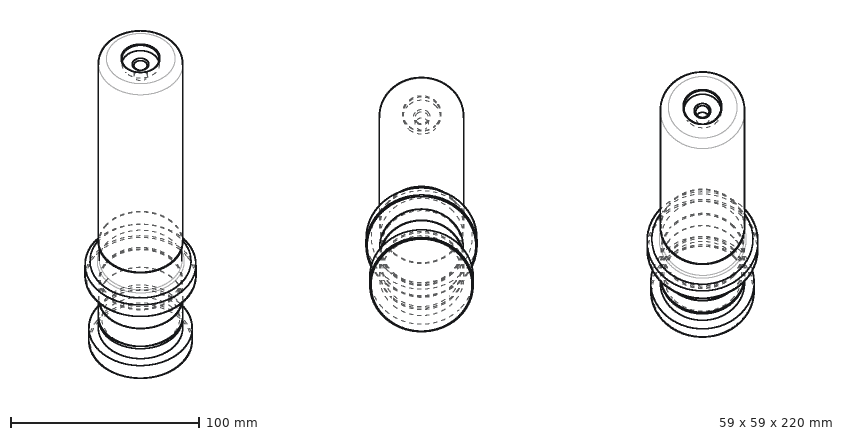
import cadquery as cq
import math

total_height = 220.0
cap_flange_top = 10.5
joint_height = 18.3
lower_band_top = 33.9
collar_bottom = 50.2
collar_top = 62.5
upper_band_top = 77.2

pillar_radius = 22.5
band_radius = 22.0
middle_radius = 22.2
collar_radius = 29.5
cap_flange_radius = 27.5

pillar_top_fillet = 4.2
pillar_end_chamfer = 1.8
undercut_depth = 0.7
undercut_height = 1.8
collar_top_chamfer = 2.6
collar_root_fillet = 1.0
bottom_edge_chamfer = 0.7

recess_radius = 10.0
recess_depth = 4.6
recess_edge_chamfer = 0.5
centre_mouth_radius = 4.5
centre_radius = 3.5
centre_depth = 8.8
centre_tip_angle = 120.0


def revolve_profile(profile):
    """Revolve a closed radius-height outline around the Z axis."""
    return profile.close().revolve(360, (0, 0, 0), (0, 1, 0))


def make_centre_hole():
    """Stepped recess, countersunk hole and conical drill tip."""
    recess_floor = total_height - recess_depth
    countersink_bottom = recess_floor - (centre_mouth_radius - centre_radius)
    hole_bottom = recess_floor - centre_depth
    tip_height = centre_radius / math.tan(math.radians(centre_tip_angle / 2))
    return revolve_profile(
        cq.Workplane("XZ")
        .moveTo(0, total_height)
        .lineTo(recess_radius + recess_edge_chamfer, total_height)
        .lineTo(recess_radius, total_height - recess_edge_chamfer)
        .lineTo(recess_radius, recess_floor)
        .lineTo(centre_mouth_radius, recess_floor)
        .lineTo(centre_radius, countersink_bottom)
        .lineTo(centre_radius, hole_bottom)
        .lineTo(0, hole_bottom - tip_height)
    )


def make_pillar():
    """Guide pillar with its integral collar, reduced bands and undercut neck."""
    fillet_middle = math.sqrt(0.5)
    root_radius = band_radius + collar_root_fillet
    root_top = collar_top + collar_root_fillet
    shoulder_radius = collar_radius - collar_top_chamfer
    shoulder_height = collar_top - collar_top_chamfer
    crown_radius = pillar_radius - pillar_top_fillet
    crown_height = total_height - pillar_top_fillet
    body = revolve_profile(
        cq.Workplane("XZ")
        .moveTo(0, joint_height)
        .lineTo(pillar_radius - pillar_end_chamfer, joint_height)
        .lineTo(pillar_radius, joint_height + pillar_end_chamfer)
        .lineTo(pillar_radius, lower_band_top)
        .lineTo(middle_radius, lower_band_top)
        .lineTo(middle_radius, collar_bottom - undercut_height)
        .lineTo(middle_radius - undercut_depth, collar_bottom - undercut_height)
        .lineTo(middle_radius - undercut_depth, collar_bottom)
        .lineTo(collar_radius - bottom_edge_chamfer, collar_bottom)
        .lineTo(collar_radius, collar_bottom + bottom_edge_chamfer)
        .lineTo(collar_radius, shoulder_height)
        .lineTo(shoulder_radius, collar_top)
        .lineTo(root_radius, collar_top)
        .threePointArc(
            (
                root_radius - collar_root_fillet * fillet_middle,
                root_top - collar_root_fillet * fillet_middle,
            ),
            (band_radius, root_top),
        )
        .lineTo(band_radius, upper_band_top)
        .lineTo(pillar_radius, upper_band_top)
        .lineTo(pillar_radius, crown_height)
        .threePointArc(
            (
                crown_radius + pillar_top_fillet * fillet_middle,
                crown_height + pillar_top_fillet * fillet_middle,
            ),
            (crown_radius, total_height),
        )
        .lineTo(0, total_height)
    )
    return body.cut(make_centre_hole())


def make_cap():
    """Flanged end cap that sits against the bottom of the pillar."""
    flange = (
        cq.Workplane("XY")
        .circle(cap_flange_radius)
        .extrude(cap_flange_top)
        .faces("<Z")
        .chamfer(bottom_edge_chamfer)
    )
    spigot = cq.Workplane("XY").circle(pillar_radius).extrude(joint_height)
    return flange.union(spigot)


pillar = make_pillar()
cap = make_cap()

result = cq.Compound.makeCompound([pillar.val(), cap.val()])